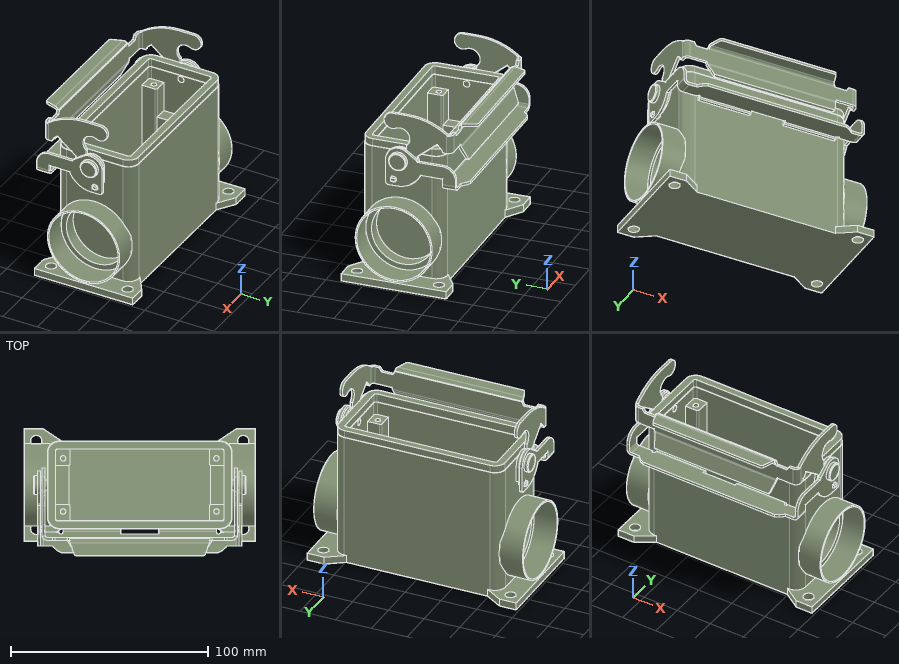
import cadquery as cq
import math


base_length = 117.0
base_width = 57.1
base_thickness = 4.1
foot_straight = 9.5
foot_reach = 19.0
foot_hole_radius = 2.8
foot_hole_x = 52.4
foot_hole_y = 22.2

body_length = 93.6
body_width = 44.5
body_height = 77.1
body_corner = 6.0
rim_height = 4.0
rim_inset = 0.2

cavity_length = 85.2
cavity_width = 36.3
cavity_corner = 1.2
cavity_floor = base_thickness
lip_height = 4.8
lip_overhang = 0.2

ledge_inner_x = 35.9
ledge_top = 48.0
post_top = 64.9
post_inner_x = 35.2
post_width = 8.2
post_corner = 0.9
screw_x = 38.8
screw_y = 13.5
screw_radius = 1.4
screw_depth = 14.0

entry_z = 25.9
entry_radius = 21.0
entry_outer_end_x = 45.4
entry_socket_radius = 20.1
entry_socket_end_x = 45.6
entry_bore_radius = 17.1
entry_bore_end_x = 38.6

sheet = 1.5
bend_radius = 2.9

pivot_z = 69.8
pivot_hole_radius = 1.8
pivot_collar_radius = 2.5
pivot_head_radius = 4.8
pivot_head_height = 2.1
pivot_head_chamfer = 0.5

lever_outer_x = 49.6
lever_front_y = -28.1
lever_top = 95.0
bracket_outer_x = 51.7

lobe_radius = 4.3
notch_radius = 5.3
notch_z = 82.1
lobe_z = lever_top - lobe_radius
lobe_y = math.sqrt((lobe_radius + notch_radius) ** 2 - (lobe_z - notch_z) ** 2)
back_arc_start_y = -3.6
back_arc_radius = 36.7
back_arc_end_y = -25.9
neck_y = -3.4
hub_radius = 6.4
cam_radius = 10.6
band_bottom = 77.5
band_heel_y = -23.3
gusset_heel = (-22.7, 78.9)
gusset_peak = (-20.1, 81.4)
gusset_root = (-9.2, 72.7)
cam_start_degrees = 190
band_top = 87.3

band_step_z = 85.2
step_outer_x = 44.2
step_inner_x = 42.9
step_end_x = 36.6
top_lip_root_x = 35.7
top_lip_tip_x = 33.0
low_lip_root_x = 37.1
low_lip_tip_x = 34.3
top_lip_tip_y = -35.9
top_lip_top = 88.5
low_lip_bend_z = 76.0
low_lip_tip_z = 68.3
low_lip_tip_y = -31.6
lip_corner = 1.4

ear_radius = 7.0
ear_bottom = 55.5
ear_corner = 1.4
ear_tangent_degrees = 126
ear_front_y = -11.9
ear_belly = (-8.3, 58.9)
ear_flat_y = 1.0
arm_shoulder = (-9.6, 71.7)
arm_shoulder_chamfer = 0.7
arm_top = 70.8
arm_bottom = 63.8
arm_inner_y = -23.9
arm_front_y = -31.0
plate_bottom = 57.7
flap_front_y = -34.4
flap_root_x = 44.2
flap_tip_x = 39.7
flap_knee = (41.9, -33.2)
tab_inner_x = 9.6
tab_outer_x = 39.0
tab_bottom = 56.5
tab_bend_radius = 1.3
relief_depth = 0.9
lug_y = 2.8
lug_z = 59.0
lug_width = 2.3
lug_height = 1.6
lug_end_x = 52.5
lug_hole_radius = 1.6


def box(x0, x1, y0, y1, z0, z1):
    return cq.Workplane("XY").box(x1 - x0, y1 - y0, z1 - z0, centered=False).translate((x0, y0, z0))


def rounded_block(length, width, corner, z0, z1):
    """Block centred on the Z axis with rounded vertical corners."""
    block = box(-length / 2, length / 2, -width / 2, width / 2, z0, z1)
    return block.edges("|Z").fillet(corner)


def rod(x0, x1, y, z, radius):
    """Cylinder along X."""
    return cq.Workplane("YZ", origin=(x0, y, z)).circle(radius).extrude(x1 - x0)


def both_ends(shape):
    """The shape together with its mirror image at the other end of the housing."""
    return shape.union(shape.mirror("YZ"))


def fillet_edge(shape, midpoint, radius):
    """Round the edge whose middle lies nearest to the given point."""
    return shape.edges(cq.selectors.NearestToPointSelector(midpoint)).fillet(radius)


def on_circle(centre_y, centre_z, radius, degrees):
    angle = math.radians(degrees)
    return (centre_y + radius * math.cos(angle), centre_z + radius * math.sin(angle))


def make_feet():
    half_length = base_length / 2
    half_width = base_width / 2
    wall_y = body_width / 2
    straight_x = half_length - foot_straight
    inner_x = half_length - foot_reach
    outline = [
        (half_length, half_width), (straight_x, half_width), (inner_x, wall_y),
        (inner_x, -wall_y), (straight_x, -half_width), (half_length, -half_width),
    ]
    foot = cq.Workplane("XY").polyline(outline).close().extrude(base_thickness)
    holes = (
        cq.Workplane("XY")
        .pushPoints([(foot_hole_x, foot_hole_y), (foot_hole_x, -foot_hole_y)])
        .circle(foot_hole_radius)
        .extrude(base_thickness)
    )
    return both_ends(foot.cut(holes))


def make_body():
    rim_bottom = body_height - rim_height
    body = rounded_block(body_length, body_width, body_corner, 0, rim_bottom)
    rim = rounded_block(
        body_length - 2 * rim_inset, body_width - 2 * rim_inset,
        body_corner - rim_inset, rim_bottom, body_height,
    )
    return body.union(rim)


def make_post():
    """Screw post in the corner of the cavity at +X, +Y, rising from the cavity floor."""
    outer_x = cavity_length / 2 + lip_overhang
    outer_y = cavity_width / 2 + lip_overhang
    inner_y = cavity_width / 2 - post_width
    post = box(post_inner_x, outer_x, inner_y, outer_y, cavity_floor, post_top)
    post = post.edges("|Z and <X and <Y").fillet(post_corner)
    screw_hole = (
        cq.Workplane("XY", origin=(screw_x, screw_y, post_top)).circle(screw_radius).extrude(-screw_depth)
    )
    return post.cut(screw_hole)


def make_cavity():
    lip_bottom = body_height - lip_height
    mouth = rounded_block(cavity_length, cavity_width, cavity_corner, lip_bottom, body_height)
    chamber = rounded_block(
        cavity_length + 2 * lip_overhang, cavity_width + 2 * lip_overhang,
        cavity_corner + lip_overhang, cavity_floor, lip_bottom,
    )
    ledge = box(ledge_inner_x, body_length / 2, -body_width / 2, body_width / 2, cavity_floor, ledge_top)
    cavity = mouth.union(chamber).cut(both_ends(ledge))
    rear_posts = both_ends(make_post())
    return cavity.cut(rear_posts).cut(rear_posts.mirror("XZ"))


def make_housing():
    half_length = base_length / 2
    entry = rod(entry_outer_end_x, half_length, 0, entry_z, entry_radius)
    socket = rod(entry_socket_end_x, half_length, 0, entry_z, entry_socket_radius)
    bore = rod(entry_bore_end_x, half_length, 0, entry_z, entry_bore_radius)
    pivot_hole = rod(cavity_length / 2 - lip_overhang, half_length, 0, pivot_z, pivot_hole_radius)
    return (
        make_body()
        .union(make_feet())
        .union(both_ends(entry))
        .cut(make_cavity())
        .cut(both_ends(socket.union(bore)))
        .cut(both_ends(pivot_hole))
    )


def lever_profile():
    """Side outline of the lever, spanning its whole length in X."""
    touch_angle = math.degrees(math.atan2(notch_z - lobe_z, -lobe_y))
    touch = on_circle(lobe_y, lobe_z, lobe_radius, touch_angle)
    neck_top = (neck_y, notch_z - math.sqrt(notch_radius ** 2 - neck_y ** 2))
    back_centre_z = lever_top - back_arc_radius

    def back_point(y):
        return (y, back_centre_z + math.sqrt(back_arc_radius ** 2 - (y - back_arc_start_y) ** 2))

    hub_top = (neck_y, pivot_z + math.sqrt(hub_radius ** 2 - neck_y ** 2))
    cam_end = (hub_radius, pivot_z - math.sqrt(cam_radius ** 2 - hub_radius ** 2))
    cam_start = on_circle(0, pivot_z, cam_radius, cam_start_degrees)
    return (
        cq.Workplane("YZ", origin=(-lever_outer_x, 0, 0))
        .moveTo(lobe_y, lever_top)
        .lineTo(back_arc_start_y, lever_top)
        .threePointArc(back_point((back_arc_start_y + back_arc_end_y) / 2), back_point(back_arc_end_y))
        .lineTo(back_arc_end_y, band_top)
        .lineTo(lever_front_y, band_top)
        .lineTo(lever_front_y, band_bottom)
        .lineTo(band_heel_y, band_bottom)
        .lineTo(*gusset_heel)
        .lineTo(*gusset_peak)
        .lineTo(*gusset_root)
        .lineTo(*cam_start)
        .threePointArc(on_circle(0, pivot_z, cam_radius, 250), cam_end)
        .lineTo(hub_radius, pivot_z)
        .threePointArc(on_circle(0, pivot_z, hub_radius, 60), hub_top)
        .lineTo(*neck_top)
        .threePointArc(on_circle(0, notch_z, notch_radius, 180), touch)
        .threePointArc(on_circle(lobe_y, lobe_z, lobe_radius, 0), (lobe_y, lever_top))
        .close()
        .extrude(2 * lever_outer_x)
    )


def lever_sheet():
    """U-shaped sheet, open to the rear, from which the lever profile is cut."""
    rear_y = lobe_y + lobe_radius
    outside = box(-lever_outer_x, lever_outer_x, lever_front_y, rear_y, 0, lever_top)
    outside = outside.edges("|Z and <Y").fillet(bend_radius)
    inner_x = lever_outer_x - sheet
    inside = box(-inner_x, inner_x, lever_front_y + sheet, rear_y, 0, lever_top)
    inside = inside.edges("|Z and <Y").fillet(bend_radius - sheet)
    return outside.cut(inside)


def band_step():
    """Cut that lowers the top of the band between the top lip and the arms."""
    outline = [
        (step_outer_x, band_top), (step_inner_x, band_step_z),
        (step_end_x, band_step_z), (top_lip_root_x, band_top),
    ]
    band_rear = cq.Workplane("XZ", origin=(0, lever_front_y + sheet, 0))
    return both_ends(band_rear.polyline(outline).close().extrude(sheet))


def top_lip():
    """Flange that rises from the band and turns forward."""
    root_y = lever_front_y + sheet
    bend_z = top_lip_top - bend_radius
    inner_radius = bend_radius - sheet
    side = (
        cq.Workplane("YZ", origin=(-top_lip_root_x, 0, 0))
        .moveTo(root_y, band_bottom)
        .lineTo(root_y, bend_z)
        .radiusArc((root_y - bend_radius, top_lip_top), -bend_radius)
        .lineTo(top_lip_tip_y, top_lip_top)
        .lineTo(top_lip_tip_y, top_lip_top - sheet)
        .lineTo(root_y - bend_radius, top_lip_top - sheet)
        .radiusArc((lever_front_y, bend_z), inner_radius)
        .lineTo(lever_front_y, band_bottom)
        .close()
        .extrude(2 * top_lip_root_x)
    )
    plan = (
        cq.Workplane("XY")
        .polyline([
            (-top_lip_root_x, root_y), (-top_lip_root_x, lever_front_y), (-top_lip_tip_x, top_lip_tip_y),
            (top_lip_tip_x, top_lip_tip_y), (top_lip_root_x, lever_front_y), (top_lip_root_x, root_y),
        ])
        .close()
        .extrude(lever_top)
        .edges("|Z and <Y")
        .fillet(lip_corner)
    )
    return side.intersect(plan)


def low_lip():
    """Flange that hangs from the band and slants forward."""
    root_y = lever_front_y + sheet
    slant = math.atan2(lever_front_y - low_lip_tip_y, low_lip_bend_z - low_lip_tip_z)
    rear_bend_z = low_lip_bend_z - sheet * math.tan(slant / 2)
    lowest_z = low_lip_tip_z - sheet * math.sin(slant)
    side = (
        cq.Workplane("YZ", origin=(-low_lip_root_x, 0, 0))
        .polyline([
            (lever_front_y, band_top),
            (lever_front_y, low_lip_bend_z),
            (low_lip_tip_y, low_lip_tip_z),
            (low_lip_tip_y + sheet * math.cos(slant), lowest_z),
            (root_y, rear_bend_z),
            (root_y, band_top),
        ])
        .close()
        .extrude(2 * low_lip_root_x)
    )
    side = fillet_edge(side, (0, lever_front_y, low_lip_bend_z), bend_radius - sheet)
    side = fillet_edge(side, (0, root_y, rear_bend_z), bend_radius)
    front = (
        cq.Workplane("XZ")
        .polyline([
            (-low_lip_root_x, band_bottom), (-low_lip_tip_x, lowest_z),
            (low_lip_tip_x, lowest_z), (low_lip_root_x, band_bottom),
        ])
        .close()
        .extrude(sheet - low_lip_tip_y)
        .edges("|Y and <Z")
        .fillet(lip_corner)
    )
    return side.intersect(front)


def stop_lugs():
    """Lugs on the lever cams that reach through the bracket holes."""
    lug = box(
        lever_outer_x - sheet, lug_end_x,
        lug_y - lug_width / 2, lug_y + lug_width / 2,
        lug_z - lug_height / 2, lug_z + lug_height / 2,
    )
    return both_ends(lug)


def make_lever():
    lever = lever_sheet().intersect(lever_profile()).cut(band_step())
    return lever.union(top_lip()).union(low_lip()).union(stop_lugs())


def bracket_profile():
    """Side outline of the bracket: an ear round the pivot and a curved arm to the front."""
    arm_radius = arm_inner_y - arm_front_y
    arm_centre_z = arm_top - arm_radius
    ear_tangent = on_circle(0, pivot_z, ear_radius, ear_tangent_degrees)
    profile = (
        cq.Workplane("YZ", origin=(-bracket_outer_x, 0, 0))
        .moveTo(ear_radius, pivot_z)
        .threePointArc(on_circle(0, pivot_z, ear_radius, 60), ear_tangent)
        .lineTo(*arm_shoulder)
        .lineTo(arm_shoulder[0] - arm_shoulder_chamfer, arm_top)
        .lineTo(arm_inner_y, arm_top)
        .threePointArc(
            on_circle(arm_inner_y, arm_centre_z, arm_radius, 135), (arm_front_y, arm_centre_z)
        )
        .lineTo(arm_front_y, plate_bottom)
        .lineTo(arm_inner_y, plate_bottom)
        .lineTo(arm_inner_y, arm_bottom)
        .lineTo(ear_front_y, arm_bottom)
        .threePointArc(ear_belly, (ear_flat_y, ear_bottom))
        .lineTo(ear_radius, ear_bottom)
        .close()
        .extrude(2 * bracket_outer_x)
    )
    return fillet_edge(profile, (0, ear_radius, ear_bottom), ear_corner)


def bracket_sheet():
    """Straight legs behind the arm corner and a U-shaped bend in front of it."""
    inner_x = bracket_outer_x - sheet
    bend = box(-bracket_outer_x, bracket_outer_x, arm_front_y, arm_inner_y, plate_bottom, lever_top)
    bend = bend.edges("|Y and <Z").fillet(bend_radius)
    bend_inside = box(-inner_x, inner_x, arm_front_y, arm_inner_y, plate_bottom + sheet, lever_top)
    bend_inside = bend_inside.edges("|Y and <Z").fillet(bend_radius - sheet)
    leg = box(inner_x, bracket_outer_x, arm_inner_y, ear_radius, ear_bottom, lever_top)
    return bend.cut(bend_inside).union(both_ends(leg))


def bracket_flap():
    """Forward extension of the bottom plate."""
    return (
        cq.Workplane("XY", origin=(0, 0, plate_bottom))
        .moveTo(-flap_root_x, arm_front_y)
        .lineTo(-flap_knee[0], flap_knee[1])
        .lineTo(-flap_tip_x, flap_front_y)
        .lineTo(flap_tip_x, flap_front_y)
        .lineTo(*flap_knee)
        .lineTo(flap_root_x, arm_front_y)
        .close()
        .extrude(sheet)
    )


def bracket_tab():
    """Tab at the rear edge of the bottom plate, turned down against the housing wall."""
    plate_top = plate_bottom + sheet
    wall_y = -body_width / 2
    tab = box(tab_inner_x, tab_outer_x, arm_inner_y, wall_y, tab_bottom, plate_top)
    return tab.edges("|X and >Y and >Z").fillet(tab_bend_radius)


def bracket_reliefs():
    """Bend reliefs between the tabs and at their outer ends."""
    plate_top = plate_bottom + sheet
    middle = box(
        -tab_inner_x, tab_inner_x, arm_inner_y - relief_depth, arm_inner_y, plate_bottom, plate_top
    )
    end = (
        cq.Workplane("XY", origin=(tab_outer_x + relief_depth, arm_inner_y, plate_bottom))
        .circle(relief_depth)
        .extrude(sheet)
    )
    return middle.union(both_ends(end))


def make_bracket():
    bracket = bracket_sheet().intersect(bracket_profile())
    bracket = bracket.union(bracket_flap()).cut(bracket_reliefs()).union(both_ends(bracket_tab()))
    lug_hole = rod(bracket_outer_x - sheet, bracket_outer_x, lug_y, lug_z, lug_hole_radius)
    return bracket.cut(both_ends(lug_hole))


def make_pivot():
    """Pivot pin at +X: from the cavity wall through the lever and bracket to its head."""
    wall_x = body_length / 2
    pin = rod(cavity_length / 2 + lip_overhang, wall_x, 0, pivot_z, pivot_hole_radius)
    collar = rod(wall_x, bracket_outer_x, 0, pivot_z, pivot_collar_radius)
    head = rod(bracket_outer_x, bracket_outer_x + pivot_head_height, 0, pivot_z, pivot_head_radius)
    head = head.faces(">X").edges().chamfer(pivot_head_chamfer)
    return pin.union(collar).union(head)


def make_latch():
    return make_lever().union(make_bracket()).union(both_ends(make_pivot()))


housing = make_housing()
latch = make_latch()

result = cq.Compound.makeCompound([housing.solids().val(), latch.solids().val()])